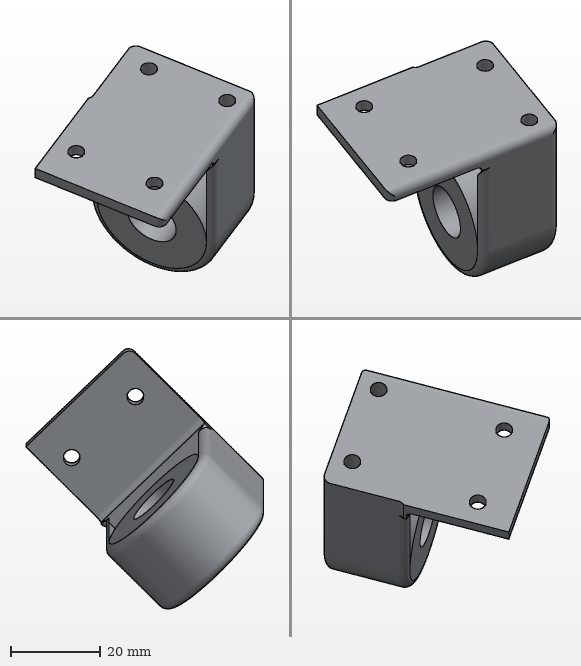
import cadquery as cq
import math

TOTAL_WIDTH = 32.55
TOTAL_DEPTH = 44.0
TOTAL_HEIGHT = 47.0

HOUSING_WIDTH = 32.0
HOUSING_DEPTH = 20.0
EDGE_RADIUS = 1.97
half_width = HOUSING_WIDTH / 2
top_z = TOTAL_HEIGHT - half_width

PLATE_THICKNESS = 3.0
ROOT_RADIUS = 1.4
plate_front_y = HOUSING_DEPTH - TOTAL_DEPTH
plate_left_x = half_width - TOTAL_WIDTH
plate_bottom_z = top_z - PLATE_THICKNESS

STEP_RADIUS = 1.7
CORNER_BOTTOM_DEPTH = 7.5
LEFT_CORNER_DEPTH = 5.7
corner_bottom_z = top_z - CORNER_BOTTOM_DEPTH
left_corner_z = top_z - LEFT_CORNER_DEPTH
right_corner_z = plate_bottom_z - ROOT_RADIUS

BUSHING_RADIUS = 14.0
BORE_DIAMETER = 12.5

HOLE_DIAMETER = 3.7
HOLE_NEAR_X = 9.02
HOLE_FAR_X = 11.0
BACK_HOLE_INSET = 5.0
FRONT_HOLE_INSET = 9.0
BLIND_HOLE_DEPTH = 10.0


def along_y(sketch_start_y):
    """XZ workplane at the given y; extrude by a negative length to go toward +Y."""
    return cq.Workplane("XZ", origin=(0, sketch_start_y, 0))


def make_block():
    """U-shaped block with rounded edges at the front and back faces."""
    block = (
        along_y(0)
        .moveTo(-half_width, top_z)
        .lineTo(-half_width, 0)
        .threePointArc((0, -half_width), (half_width, 0))
        .lineTo(half_width, top_z)
        .close()
        .extrude(-HOUSING_DEPTH)
    )
    return block.edges("(<Y or >Y) and (not >Z)").fillet(EDGE_RADIUS)


def make_plate():
    """Flat plate in front of the housing, with one rounded corner."""
    return (
        cq.Workplane("XY", origin=(0, 0, plate_bottom_z))
        .moveTo(plate_left_x, 0)
        .lineTo(plate_left_x, plate_front_y)
        .lineTo(half_width, plate_front_y)
        .lineTo(half_width, 0)
        .close()
        .extrude(PLATE_THICKNESS)
        .edges("|Z and >X and <Y")
        .fillet(EDGE_RADIUS)
    )


def make_root_fillet():
    """Concave strip between the plate underside and the housing front face."""
    return (
        cq.Workplane("YZ", origin=(plate_left_x, 0, 0))
        .moveTo(0, plate_bottom_z)
        .lineTo(-ROOT_RADIUS, plate_bottom_z)
        .radiusArc((0, plate_bottom_z - ROOT_RADIUS), ROOT_RADIUS)
        .close()
        .extrude(TOTAL_WIDTH)
    )


def make_front_corners():
    """Square corners under the plate ends, running out on slopes to the rounded edges.

    On the left, a concave arc blends the wider plate into the housing side.
    """
    step = -half_width - plate_left_x
    step_length = math.sqrt(STEP_RADIUS**2 - (STEP_RADIUS - step) ** 2)
    inner_x = half_width - EDGE_RADIUS
    plan = (
        cq.Workplane("XY", origin=(0, 0, corner_bottom_z))
        .moveTo(half_width, 0)
        .lineTo(half_width, EDGE_RADIUS)
        .lineTo(-half_width, EDGE_RADIUS)
        .radiusArc((plate_left_x, EDGE_RADIUS - step_length), STEP_RADIUS)
        .lineTo(plate_left_x, 0)
        .close()
        .extrude(CORNER_BOTTOM_DEPTH)
    )
    slopes = (
        along_y(0)
        .moveTo(plate_left_x, top_z)
        .lineTo(plate_left_x, left_corner_z)
        .lineTo(-inner_x, corner_bottom_z)
        .lineTo(inner_x, corner_bottom_z)
        .lineTo(half_width, right_corner_z)
        .lineTo(half_width, top_z)
        .close()
        .extrude(-EDGE_RADIUS)
    )
    return plan.intersect(slopes)


def round_top_edge(body):
    """Round the long top edge on the +X side."""
    corner = (
        along_y(plate_front_y)
        .moveTo(half_width, top_z)
        .lineTo(half_width - EDGE_RADIUS, top_z)
        .radiusArc((half_width, top_z - EDGE_RADIUS), EDGE_RADIUS)
        .close()
        .extrude(-TOTAL_DEPTH)
    )
    return body.cut(corner)


def drill_mounting_holes(body):
    """Through holes at the plate front, blind holes in the housing top."""
    top = cq.Workplane("XY", origin=(0, 0, top_z))
    front_y = plate_front_y + FRONT_HOLE_INSET
    back_y = HOUSING_DEPTH - BACK_HOLE_INSET
    front_holes = (
        top.pushPoints([(-HOLE_FAR_X, front_y), (HOLE_NEAR_X, front_y)])
        .circle(HOLE_DIAMETER / 2)
        .extrude(-PLATE_THICKNESS)
    )
    back_holes = (
        top.pushPoints([(-HOLE_NEAR_X, back_y), (HOLE_FAR_X, back_y)])
        .circle(HOLE_DIAMETER / 2)
        .extrude(-BLIND_HOLE_DEPTH)
    )
    return body.cut(front_holes).cut(back_holes)


def make_housing():
    """Bearing block with its mounting plate and a seat for the bushing."""
    body = make_block().union(make_front_corners()).union(make_plate()).union(make_root_fillet())
    body = drill_mounting_holes(round_top_edge(body))
    seat = along_y(0).circle(BUSHING_RADIUS).extrude(-HOUSING_DEPTH)
    return body.cut(seat)


def make_bushing():
    """Plain ring that fills the seat, flush with both housing faces."""
    return along_y(0).circle(BUSHING_RADIUS).circle(BORE_DIAMETER / 2).extrude(-HOUSING_DEPTH)


housing = make_housing()
bushing = make_bushing()
result = cq.Compound.makeCompound([housing.val(), bushing.val()])